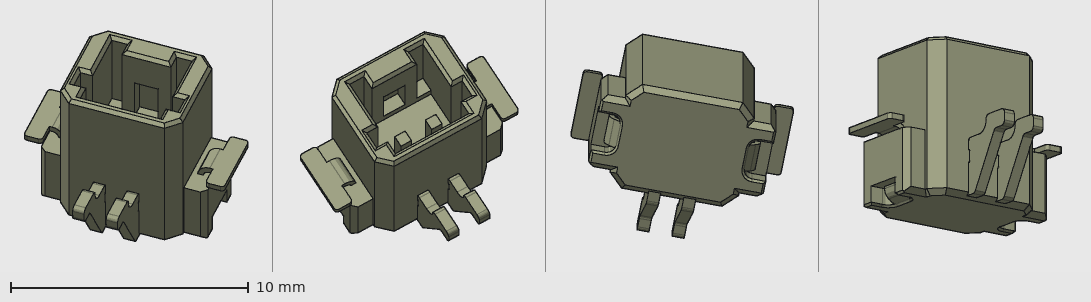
import cadquery as cq
import math

BODY_WIDTH = 5.5
BODY_DEPTH = 4.7
BODY_HEIGHT = 6.9
BODY_CORNER = 0.6
RIM_CHAMFER = 0.15
BASE_CHAMFER = 0.25

WING_SPAN = 7.49
WING_DEPTH = 3.26
WING_HEIGHT = 2.84
WING_CORNER = 0.25
END_CHAMFER = 0.1

NOTCH_WIDTH = 1.72
NOTCH_HEIGHT = 0.8
NOTCH_RADIUS = 0.405
FLARE_TAPER = 45.0
CUT_MARGIN = 0.45

CAVITY_WIDTH = 3.6
CAVITY_DEPTH = 3.74
CAVITY_FLOOR = 3.0
KEYWAY_FLOOR = 3.37
RIB_WIDTH = 2.2
RIB_FACE_Y = 1.215
SLOT_SPAN = 4.68
SLOT_WIDTH = 0.8
SLOT_Y = -0.83
WINDOW_WIDTH = 1.05
WINDOW_BACK_Y = 1.81
WINDOW_TOP = 5.28

PIN_PITCH = 1.5
PIN_SIZE = 0.51
PIN_POST_Y = -0.75
PIN_POST_TOP = 5.0
LEG_TIP = 4.905
LEG_TOP = 3.35
LEG_STEP = 3.59
LEG_SHOULDER = 2.62
LEG_BOTTOM = 0.12
LEG_BACK = 2.3
LEG_BOTTOM_TIP = 2.77
LEG_SLOPE = 30.0
LEG_RADIUS = 0.2
LEG_STEP_RADIUS = 0.495
LEG_ROOT_TOP = 1.35
LEG_ROOT_BACK = 1.8
RELIEF_BOTTOM = 1.55
RELIEF_TOP = 2.12
RELIEF_DEPTH = 0.05

STRIP_THICKNESS = 0.25
STRIP_OUTER_X = 3.24
STRIP_WIDTH = 1.25
TOP_BEND_RADIUS = 0.3
FOOT_WIDTH = 1.19
FOOT_BEND_RADIUS = 0.26
FOOT_BEND_Z = 0.71
FOOT_BEND_ANGLE = 54.3
FOOT_TAIL = 0.45
TAB_TIP_X = 4.5
TAB_INNER_X = 3.67
TAB_DEPTH = 3.01
TAB_CORNER = 0.15
TAB_TOP = LEG_TOP


def box(x_range, y_range, z_range):
    """Axis-aligned block between the given limits."""
    size = [limits[1] - limits[0] for limits in (x_range, y_range, z_range)]
    start = (x_range[0], y_range[0], z_range[0])
    return cq.Workplane("XY").box(*size, centered=False).translate(start)


def both_ends(shape):
    """The +X shape together with its mirror image at -X."""
    return shape.union(shape.mirror("YZ"))


def make_body():
    tower = cq.Workplane("XY").rect(BODY_WIDTH, BODY_DEPTH).extrude(BODY_HEIGHT)
    tower = tower.edges("|Z").chamfer(BODY_CORNER)
    return tower.faces(">Z").chamfer(RIM_CHAMFER).faces("<Z").chamfer(BASE_CHAMFER)


def make_wings():
    """Both wings as one bar through the body, chamfered independently along each axis."""
    bar_size = (WING_SPAN, WING_DEPTH, WING_HEIGHT)
    bar = cq.Workplane("XY").box(*bar_size, centered=(True, True, False))
    corners = bar.edges("|Z").chamfer(WING_CORNER)
    long_edges = bar.edges("<Z and |X").chamfer(BASE_CHAMFER)
    end_edges = bar.edges("<Z and |Y").chamfer(END_CHAMFER)
    return corners.intersect(long_edges).intersect(end_edges)


def make_notches():
    """Round-cornered notch cutters, flared along their bottom edge."""
    inner_x = BODY_WIDTH / 2
    length = WING_SPAN / 2 + CUT_MARGIN - inner_x
    plan = cq.Workplane("XY").center(inner_x + length / 2, 0)
    notch = plan.rect(length, NOTCH_WIDTH).extrude(NOTCH_HEIGHT)
    notch = notch.edges("|Z").fillet(NOTCH_RADIUS)
    flare_size = (length + 2 * END_CHAMFER, NOTCH_WIDTH + 2 * END_CHAMFER)
    flare_outline = cq.Sketch().rect(*flare_size).vertices().fillet(NOTCH_RADIUS + END_CHAMFER)
    flare = plan.placeSketch(flare_outline).extrude(END_CHAMFER, taper=FLARE_TAPER)
    return both_ends(notch.union(flare))


def cavity_plan(margin):
    """Cavity outline with side slots and the rib on the +Y wall, widened by margin."""
    half_width = CAVITY_WIDTH / 2 + margin
    half_depth = CAVITY_DEPTH / 2 + margin
    half_slot_span = SLOT_SPAN / 2 + margin
    slot_low = SLOT_Y - SLOT_WIDTH / 2 - margin
    slot_high = SLOT_Y + SLOT_WIDTH / 2 + margin
    half_rib = RIB_WIDTH / 2 - margin
    right = [
        (half_width, -half_depth),
        (half_width, slot_low),
        (half_slot_span, slot_low),
        (half_slot_span, slot_high),
        (half_width, slot_high),
        (half_width, half_depth),
        (half_rib, half_depth),
        (half_rib, RIB_FACE_Y + margin),
    ]
    left = [(-x, y) for x, y in reversed(right)]
    return right + left


def make_cavity():
    """Keyed cavity with a lead-in chamfer; the floor steps up beside the rib."""
    depth = BODY_HEIGHT - CAVITY_FLOOR
    bore = cq.Workplane("XY", origin=(0, 0, CAVITY_FLOOR)).polyline(cavity_plan(0)).close()
    bore = bore.extrude(depth)
    half_width = CAVITY_WIDTH / 2
    back_y = CAVITY_DEPTH / 2
    bore = bore.cut(box((-half_width, half_width), (RIB_FACE_Y, back_y), (CAVITY_FLOOR, KEYWAY_FLOOR)))
    lead_in = cq.Workplane("XY", origin=(0, 0, BODY_HEIGHT - RIM_CHAMFER))
    lead_in = lead_in.polyline(cavity_plan(0)).close()
    lead_in = lead_in.workplane(offset=RIM_CHAMFER).polyline(cavity_plan(RIM_CHAMFER)).close()
    lead_in = lead_in.loft(ruled=True)
    half_window = WINDOW_WIDTH / 2
    window = box((-half_window, half_window), (RIB_FACE_Y, WINDOW_BACK_Y), (KEYWAY_FLOOR, WINDOW_TOP))
    return bore.union(lead_in).union(window)


def make_pin(x):
    """One contact: post in the cavity, root in the wall and leg outside it."""
    half = PIN_SIZE / 2
    x_range = (x - half, x + half)
    post = box(x_range, (PIN_POST_Y - half, PIN_POST_Y + half), (CAVITY_FLOOR - half, PIN_POST_TOP))
    root = box(x_range, (-BODY_DEPTH / 2, -LEG_ROOT_BACK), (LEG_BOTTOM, LEG_ROOT_TOP))

    slope_run = (LEG_SHOULDER - LEG_BOTTOM) * math.tan(math.radians(LEG_SLOPE))
    outline = [
        (-LEG_BACK, LEG_BOTTOM),
        (-LEG_BOTTOM_TIP, LEG_BOTTOM),
        (-LEG_BOTTOM_TIP - slope_run, LEG_SHOULDER),
        (-LEG_TIP, LEG_SHOULDER),
        (-LEG_TIP, LEG_TOP),
        (-LEG_STEP, LEG_TOP),
        (-LEG_STEP, LEG_SHOULDER),
        (-LEG_BACK, LEG_SHOULDER),
    ]
    side = cq.Workplane("YZ", origin=(x - half, 0, 0))
    leg = side.polyline(outline).close().extrude(PIN_SIZE)
    step = cq.selectors.NearestToPointSelector((x, -LEG_STEP, LEG_SHOULDER))
    leg = leg.edges("|X").edges(step).fillet(LEG_STEP_RADIUS)
    for corner_y, corner_z in outline[1:6] + outline[7:]:
        corner = cq.selectors.NearestToPointSelector((x, corner_y, corner_z))
        leg = leg.edges("|X").edges(corner).fillet(LEG_RADIUS)

    wall = -BODY_DEPTH / 2
    relief = side.polyline([
        (-LEG_BACK, RELIEF_BOTTOM),
        (wall, RELIEF_BOTTOM),
        (wall - RELIEF_DEPTH, RELIEF_BOTTOM + RELIEF_DEPTH),
        (wall - RELIEF_DEPTH, RELIEF_TOP - RELIEF_DEPTH),
        (wall, RELIEF_TOP),
        (-LEG_BACK, RELIEF_TOP),
    ]).close().extrude(PIN_SIZE)
    return post.union(root).union(leg.cut(relief))


def make_hold_down():
    """Strip at +X: flat solder tab, bend down into the wing, and foot bent in under it."""
    inner_x = STRIP_OUTER_X - STRIP_THICKNESS
    tab_bottom = TAB_TOP - STRIP_THICKNESS
    bend_x = STRIP_OUTER_X + TOP_BEND_RADIUS
    bend_z = tab_bottom - TOP_BEND_RADIUS
    outer_radius = TOP_BEND_RADIUS + STRIP_THICKNESS
    diagonal = math.sqrt(0.5)
    profile = cq.Workplane("XZ", origin=(0, STRIP_WIDTH / 2, 0))
    neck = (
        profile.moveTo(TAB_INNER_X, TAB_TOP)
        .lineTo(bend_x, TAB_TOP)
        .threePointArc(
            (bend_x - outer_radius * diagonal, bend_z + outer_radius * diagonal),
            (inner_x, bend_z),
        )
        .lineTo(inner_x, NOTCH_HEIGHT)
        .lineTo(STRIP_OUTER_X, NOTCH_HEIGHT)
        .lineTo(STRIP_OUTER_X, bend_z)
        .threePointArc(
            (bend_x - TOP_BEND_RADIUS * diagonal, bend_z + TOP_BEND_RADIUS * diagonal),
            (bend_x, tab_bottom),
        )
        .lineTo(TAB_INNER_X, tab_bottom)
        .close()
        .extrude(STRIP_WIDTH)
    )
    half_tab = TAB_DEPTH / 2
    tab = box((TAB_INNER_X, TAB_TIP_X), (-half_tab, half_tab), (tab_bottom, TAB_TOP))
    tab = tab.edges("|Z").fillet(TAB_CORNER)
    return neck.union(tab).union(make_foot())


def make_foot():
    """Lower end of the +X strip, bent inward until it enters the body."""
    inner_x = STRIP_OUTER_X - STRIP_THICKNESS
    centre_x = inner_x - FOOT_BEND_RADIUS
    outer_radius = FOOT_BEND_RADIUS + STRIP_THICKNESS
    angle = math.radians(FOOT_BEND_ANGLE)

    def on_bend(radius, turn, tail=0.0):
        x = centre_x + radius * math.cos(turn) - tail * math.sin(turn)
        z = FOOT_BEND_Z - radius * math.sin(turn) - tail * math.cos(turn)
        return (x, z)

    return (
        cq.Workplane("XZ", origin=(0, FOOT_WIDTH / 2, 0))
        .moveTo(STRIP_OUTER_X, NOTCH_HEIGHT)
        .lineTo(STRIP_OUTER_X, FOOT_BEND_Z)
        .threePointArc(on_bend(outer_radius, angle / 2), on_bend(outer_radius, angle))
        .lineTo(*on_bend(outer_radius, angle, FOOT_TAIL))
        .lineTo(*on_bend(FOOT_BEND_RADIUS, angle, FOOT_TAIL))
        .lineTo(*on_bend(FOOT_BEND_RADIUS, angle))
        .threePointArc(on_bend(FOOT_BEND_RADIUS, angle / 2), (inner_x, FOOT_BEND_Z))
        .lineTo(inner_x, NOTCH_HEIGHT)
        .close()
        .extrude(FOOT_WIDTH)
    )


housing = make_body().union(make_wings()).cut(make_notches()).cut(make_cavity())
result = housing.union(both_ends(make_hold_down()))
for pin_x in (-PIN_PITCH / 2, PIN_PITCH / 2):
    result = result.union(make_pin(pin_x))